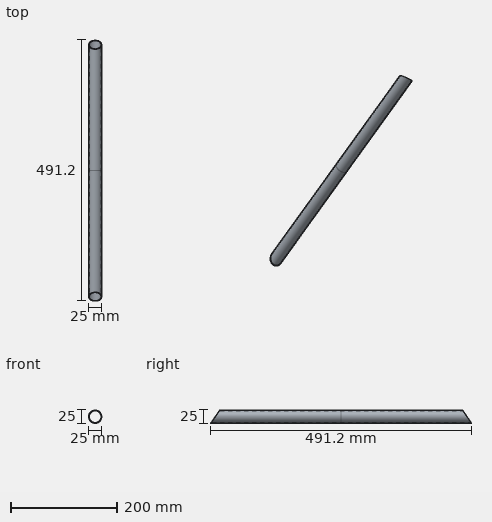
import cadquery as cq
import math

outer_diameter = 25.0
wall_thickness = 1.5
bottom_length = 491.16
miter_angle = 34.5

outer_radius = outer_diameter / 2
inner_radius = outer_radius - wall_thickness
miter_run = outer_diameter * math.tan(math.radians(miter_angle))
top_length = bottom_length - 2 * miter_run


def make_tube():
    """Square-ended tube along Y, centred on the origin."""
    return (
        cq.Workplane("XZ")
        .circle(outer_radius)
        .circle(inner_radius)
        .extrude(bottom_length / 2, both=True)
    )


def make_miter_envelope():
    """Trapezoidal prism along X whose sloping ends are the two mitre planes."""
    side_outline = [
        (-bottom_length / 2, -outer_radius),
        (bottom_length / 2, -outer_radius),
        (top_length / 2, outer_radius),
        (-top_length / 2, outer_radius),
    ]
    return cq.Workplane("YZ").polyline(side_outline).close().extrude(outer_diameter, both=True)


result = make_tube().intersect(make_miter_envelope())